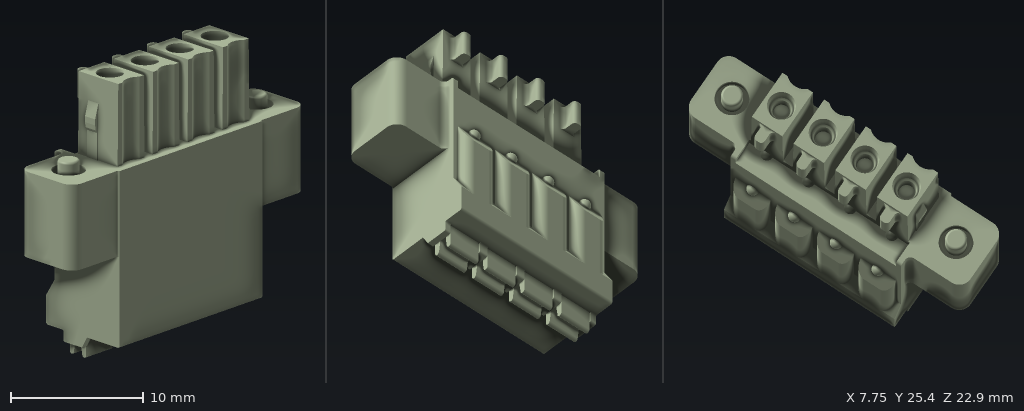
import cadquery as cq


POLE_COUNT = 4
POLE_SPAN = 11.4
POLE_PITCH = POLE_SPAN / (POLE_COUNT - 1)
AXIS_X = 4.75
POLE_YS = [(i - (POLE_COUNT - 1) / 2) * POLE_PITCH for i in range(POLE_COUNT)]

BODY_DEPTH = 7.75
BODY_WIDTH = 15.5
BODY_BOTTOM = 2.0
BODY_TOP = 16.28
UPPER_REAR_X = 0.9
SLOPE_LOW_Z = 4.35
SLOPE_HIGH_Z = 5.8
BODY_BOTTOM_FILLET = 0.2
BODY_TOP_FILLET = 0.28
LEDGE_Z = 15.39
LEDGE_WIDTH = 14.6

FLANGE_SPAN = 25.43
FLANGE_REAR_X = 1.93
FLANGE_FRONT_X = 7.58
FLANGE_BOTTOM = 9.35
FLANGE_CORNER_RADIUS = 1.05
FLANGE_REAR_ROOT_RADIUS = 0.5
FLANGE_FRONT_ROOT_RADIUS = 0.15
SCREW_Y = 10.2
SCREW_RADIUS = 0.85
SCREW_TOP = 17.15
SCREW_EDGE_FILLET = 0.2
WELL_RADIUS = 1.32
WELL_DEPTH = 0.76

TOWER_REAR_X = 2.8
TOWER_FRONT_X = 6.97
TOWER_TOP = 22.9
TOWER_BASE_WIDTH = 2.92
TOWER_TOP_WIDTH = 2.77
GROOVE_CHORD = 1.83
GROOVE_DEPTH = 0.35

HOLE_STEPS = [(1.1, 0), (0.92, 0.95), (0.75, 1.1), (0.6, 1.78)]

KEY_REAR_X = 1.53
KEY_WIDTH = 0.86
KEY_TIP_RADIUS = 0.33
KEY_ROOT_RADIUS = 0.33
KEY_BOTTOM = 20.25
KEY_TOP = 22.5

LATCH_REAR_X = 3.81
LATCH_FRONT_X = 4.88
LATCH_PEAK_Y = 7.45
LATCH_MID_Y = 7.4
LATCH_RIB_Y = 7.22
LATCH_INNER_Y = 6.87
LATCH_TOP = 20.83
LATCH_PEAK_TOP = 19.63
LATCH_PEAK_MID = 19.15
LATCH_PEAK_BOTTOM = 18.75
LATCH_BOTTOM = 18.5

TAPER = (TOWER_BASE_WIDTH - TOWER_TOP_WIDTH) / 2 / (TOWER_TOP - BODY_TOP)
TOWER_SIDE_Y = POLE_YS[-1] + TOWER_TOP_WIDTH / 2 + TAPER * (TOWER_TOP - LATCH_TOP)

COLUMN_WIDTH = 3.2
COLUMN_RADIUS = 0.86
COLUMN_TOP = 11.42
COLUMN_SHOULDER = 9.87
DOT_RADIUS = 0.5

FOOT_BOTTOM = 1.07
FOOT_REAR_X = 1.83
FOOT_BASE_FRONT_X = 4.32
FOOT_TIP_FRONT_X = 3.8
FOOT_FILLET = 0.13
FOOT_GAP = 0.08

PIN_WIDTH = 2.87
PRONG_REAR_X = 1.9
PRONG_FRONT_X = 3.64
PRONG_ROOT_WIDTH = 0.53
PRONG_TIP_WIDTH = 0.43
PRONG_TAPER_TOP = 0.9


def box(x0, x1, y0, y1, z0, z1):
    """Axis-aligned block between the given limits."""
    return cq.Workplane("XY").box(x1 - x0, y1 - y0, z1 - z0, centered=False).translate((x0, y0, z0))


def extrude_profile(points, width):
    """Extrude a closed X-Z outline symmetrically about Y = 0."""
    return cq.Workplane("XZ").polyline(points).close().extrude(width / 2, both=True)


def make_housing():
    """Main block with the sloped step on its rear side."""
    outline = [
        (0, BODY_BOTTOM),
        (BODY_DEPTH, BODY_BOTTOM),
        (BODY_DEPTH, BODY_TOP),
        (UPPER_REAR_X, BODY_TOP),
        (UPPER_REAR_X, SLOPE_HIGH_Z),
        (0, SLOPE_LOW_Z),
    ]
    housing = extrude_profile(outline, BODY_WIDTH)
    housing = housing.faces("<Z").edges("|Y").fillet(BODY_BOTTOM_FILLET)
    return housing.faces(">Z").edges("<X").fillet(BODY_TOP_FILLET)


def make_flanges():
    """Plate through the whole housing whose two ends form the flanges."""
    height = BODY_TOP - FLANGE_BOTTOM
    plate = box(FLANGE_REAR_X, FLANGE_FRONT_X, -FLANGE_SPAN / 2, FLANGE_SPAN / 2, FLANGE_BOTTOM, BODY_TOP)
    plate = plate.edges("|Z").fillet(FLANGE_CORNER_RADIUS)
    for side in (1, -1):
        root_y = side * BODY_WIDTH / 2
        for face_x, outward, radius in (
            (FLANGE_REAR_X, -1, FLANGE_REAR_ROOT_RADIUS),
            (FLANGE_FRONT_X, 1, FLANGE_FRONT_ROOT_RADIUS),
        ):
            web = (
                cq.Workplane("XY", origin=(face_x, root_y, FLANGE_BOTTOM))
                .lineTo(outward * radius, 0)
                .radiusArc((0, side * radius), side * outward * radius)
                .close()
                .extrude(height)
            )
            plate = plate.union(web)
    return plate


def make_screw():
    """Flange screw standing on the floor of its well, centred on Y = 0."""
    floor = BODY_TOP - WELL_DEPTH
    shank = cq.Workplane("XY", origin=(AXIS_X, 0, floor)).circle(SCREW_RADIUS).extrude(SCREW_TOP - floor)
    return shank.faces(">Z").edges().fillet(SCREW_EDGE_FILLET)


def make_well():
    """Cutter for the round well about a flange screw, centred on Y = 0."""
    floor = BODY_TOP - WELL_DEPTH
    return cq.Workplane("XY", origin=(AXIS_X, 0, floor)).circle(WELL_RADIUS).extrude(WELL_DEPTH)


def make_tower():
    """Tapered tower with the groove in its front face, centred on Y = 0."""
    tower = (
        cq.Workplane("YZ", origin=(TOWER_REAR_X, 0, 0))
        .moveTo(-TOWER_BASE_WIDTH / 2, BODY_TOP)
        .lineTo(TOWER_BASE_WIDTH / 2, BODY_TOP)
        .lineTo(TOWER_TOP_WIDTH / 2, TOWER_TOP)
        .lineTo(-TOWER_TOP_WIDTH / 2, TOWER_TOP)
        .close()
        .extrude(TOWER_FRONT_X - TOWER_REAR_X)
    )
    groove = (
        cq.Workplane("XY", origin=(TOWER_FRONT_X, 0, BODY_TOP))
        .moveTo(0, -GROOVE_CHORD / 2)
        .threePointArc((-GROOVE_DEPTH, 0), (0, GROOVE_CHORD / 2))
        .close()
        .extrude(TOWER_TOP - BODY_TOP)
    )
    return tower.cut(groove)


def make_key():
    """Round-tipped coding key with flared root, centred on Y = 0."""
    half = KEY_WIDTH / 2
    tip_x = KEY_REAR_X + KEY_TIP_RADIUS
    root_x = TOWER_REAR_X - KEY_ROOT_RADIUS
    flare = half + KEY_ROOT_RADIUS
    return (
        cq.Workplane("XY", origin=(0, 0, KEY_BOTTOM))
        .moveTo(TOWER_REAR_X, -flare)
        .radiusArc((root_x, -half), -KEY_ROOT_RADIUS)
        .lineTo(tip_x, -half)
        .radiusArc((KEY_REAR_X, -half + KEY_TIP_RADIUS), KEY_TIP_RADIUS)
        .lineTo(KEY_REAR_X, half - KEY_TIP_RADIUS)
        .radiusArc((tip_x, half), KEY_TIP_RADIUS)
        .lineTo(root_x, half)
        .radiusArc((TOWER_REAR_X, flare), -KEY_ROOT_RADIUS)
        .close()
        .extrude(KEY_TOP - KEY_BOTTOM)
    )


def make_terminal_hole():
    """Stepped conical hole cutter, revolved about its vertical axis at Y = 0."""
    floor_depth = HOLE_STEPS[-1][1]
    outline = [(0, 0)] + [(radius, -depth) for radius, depth in HOLE_STEPS] + [(0, -floor_depth)]
    cutter = cq.Workplane("XZ").polyline(outline).close().revolve(360, (0, 0), (0, 1))
    return cutter.translate((AXIS_X, 0, TOWER_TOP))


def make_latch():
    """Latch bump and the rib below it, on the +Y side."""
    outline = [
        (LATCH_INNER_Y, LATCH_TOP),
        (TOWER_SIDE_Y, LATCH_TOP),
        (LATCH_PEAK_Y, LATCH_PEAK_TOP),
        (LATCH_PEAK_Y, LATCH_PEAK_MID),
        (LATCH_MID_Y, LATCH_PEAK_BOTTOM),
        (LATCH_RIB_Y, LATCH_BOTTOM),
        (LATCH_RIB_Y, BODY_TOP),
        (LATCH_INNER_Y, BODY_TOP),
    ]
    plane = cq.Workplane("YZ", origin=(LATCH_REAR_X, 0, 0))
    return plane.polyline(outline).close().extrude(LATCH_FRONT_X - LATCH_REAR_X)


def make_column():
    """Rounded rear column with a sloped top, centred on Y = 0."""
    column = box(0, TOWER_REAR_X, -COLUMN_WIDTH / 2, COLUMN_WIDTH / 2, SLOPE_LOW_Z, COLUMN_TOP)
    column = column.faces("<X").edges("|Z").fillet(COLUMN_RADIUS)
    slope = [(0, COLUMN_SHOULDER), (UPPER_REAR_X, COLUMN_TOP), (0, COLUMN_TOP)]
    return column.cut(extrude_profile(slope, COLUMN_WIDTH))


def make_dot(x, z):
    """Ball half sunk in a rear face, centred on Y = 0."""
    return cq.Workplane("XY").sphere(DOT_RADIUS).translate((x, 0, z))


def make_foot(y0, y1):
    """Foot under the housing between two Y limits."""
    root_x = FOOT_REAR_X - FOOT_FILLET
    buried_z = BODY_BOTTOM + FOOT_FILLET
    foot = (
        cq.Workplane("XZ")
        .moveTo(root_x, buried_z)
        .lineTo(root_x, BODY_BOTTOM)
        .radiusArc((FOOT_REAR_X, BODY_BOTTOM - FOOT_FILLET), FOOT_FILLET)
        .lineTo(FOOT_REAR_X, FOOT_BOTTOM + FOOT_FILLET)
        .radiusArc((FOOT_REAR_X + FOOT_FILLET, FOOT_BOTTOM), -FOOT_FILLET)
        .lineTo(FOOT_TIP_FRONT_X, FOOT_BOTTOM)
        .lineTo(FOOT_BASE_FRONT_X, BODY_BOTTOM)
        .lineTo(FOOT_BASE_FRONT_X, buried_z)
        .close()
        .extrude(y0 - y1)
    )
    return foot.translate((0, y0, 0))


def make_prong(outer_x, inward):
    """Tapered, round-tipped prong; inward is the X direction towards its twin."""
    tip_radius = PRONG_TIP_WIDTH / 2
    root_x = outer_x + inward * PRONG_ROOT_WIDTH
    tip_x = outer_x + inward * PRONG_TIP_WIDTH
    return (
        cq.Workplane("XZ")
        .moveTo(outer_x, BODY_BOTTOM)
        .lineTo(outer_x, tip_radius)
        .threePointArc((outer_x + inward * tip_radius, 0), (tip_x, tip_radius))
        .lineTo(root_x, PRONG_TAPER_TOP)
        .lineTo(root_x, BODY_BOTTOM)
        .close()
        .extrude(PIN_WIDTH / 2, both=True)
    )


result = make_housing().union(make_flanges())
result = result.cut(box(0, TOWER_REAR_X, -LEDGE_WIDTH / 2, LEDGE_WIDTH / 2, LEDGE_Z, BODY_TOP))
for screw_y in (-SCREW_Y, SCREW_Y):
    result = result.cut(make_well().translate((0, screw_y, 0)))
    result = result.union(make_screw().translate((0, screw_y, 0)))

pole_features = [
    make_tower(),
    make_key(),
    make_column(),
    make_dot(UPPER_REAR_X, COLUMN_TOP),
    make_dot(TOWER_REAR_X, LEDGE_Z),
    make_prong(PRONG_REAR_X, 1),
    make_prong(PRONG_FRONT_X, -1),
]
for pole_y in POLE_YS:
    for feature in pole_features:
        result = result.union(feature.translate((0, pole_y, 0)))
    result = result.cut(make_terminal_hole().translate((0, pole_y, 0)))

latch = make_latch()
result = result.union(latch).union(latch.mirror("XZ"))

pin_clearance = PIN_WIDTH / 2 + FOOT_GAP
foot_starts = [-BODY_WIDTH / 2] + [y + pin_clearance for y in POLE_YS]
foot_ends = [y - pin_clearance for y in POLE_YS] + [BODY_WIDTH / 2]
for foot_start, foot_end in zip(foot_starts, foot_ends):
    result = result.union(make_foot(foot_start, foot_end))